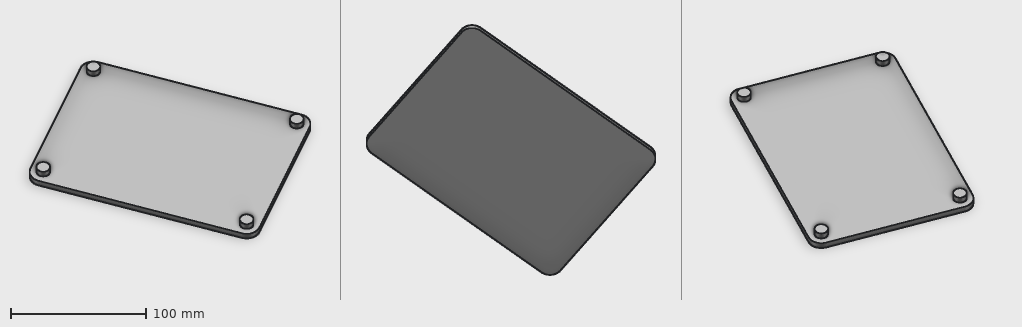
import cadquery as cq

length = 180
width = 130.0
total_height = 10.0
plate_thickness = 5.0
corner_radius = 10.0

foot_diameter = 10.0
foot_height = total_height - plate_thickness
foot_spacing_x = length - 2 * corner_radius
foot_spacing_y = width - 2 * corner_radius


def make_plate():
    """Flat plate with rounded vertical corners, resting on Z = 0."""
    plate = cq.Workplane("XY").box(length, width, plate_thickness, centered=(True, True, False))
    return plate.edges("|Z").fillet(corner_radius)


def make_feet():
    """Four round feet standing on the top face of the plate."""
    return (
        cq.Workplane("XY", origin=(0, 0, plate_thickness))
        .rect(foot_spacing_x, foot_spacing_y, forConstruction=True)
        .vertices()
        .circle(foot_diameter / 2)
        .extrude(foot_height)
    )


result = make_plate().union(make_feet())